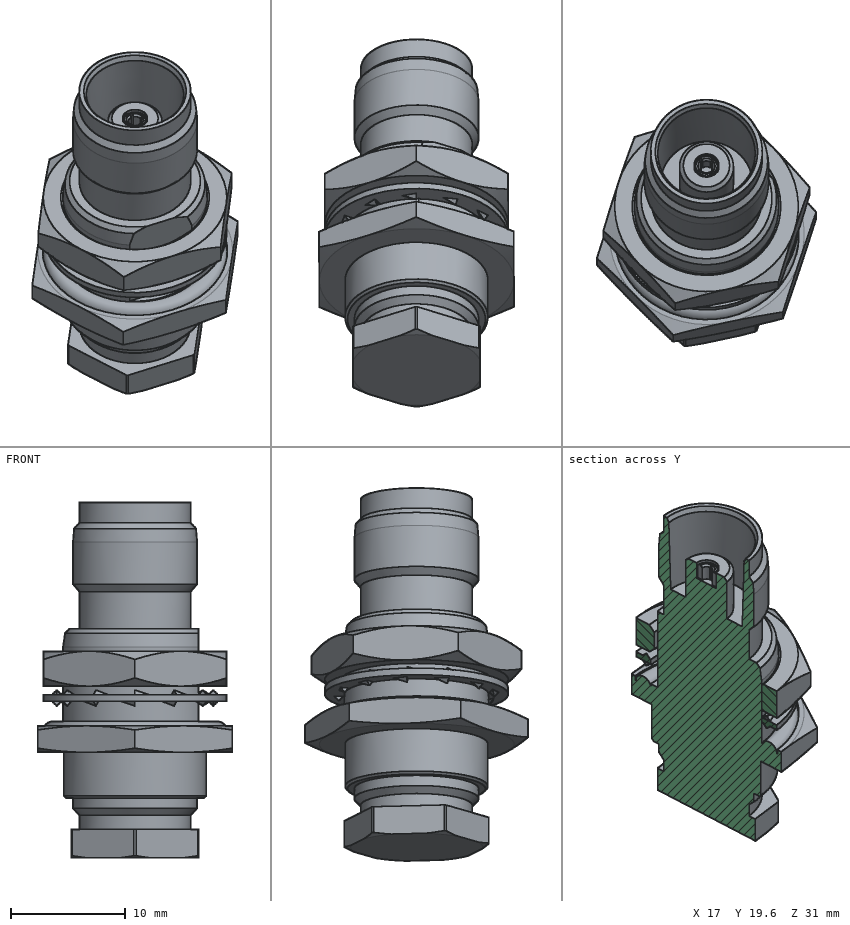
import cadquery as cq
import math


CLAMP_TOP = 2.48
TAIL_TAPER_BOTTOM = 3.72
TAIL_TAPER_TOP = 4.3
BARREL_BOTTOM = 5.2
FLANGE_BOTTOM = 9.2
FLANGE_TOP = 11.5
SHANK_CONE_BOTTOM = 18.38
SHANK_CONE_TOP = 19.6
SHANK_TOP = 20.0
COLLAR_BOTTOM = 23.22
COLLAR_FULL_BOTTOM = 23.87
COLLAR_FULL_TOP = 27.55
COLLAR_CONE_TOP = 28.7
COLLAR_TOP = 29.2
HOUSING_TOP = 31.0

NECK_RADIUS = 4.87
COLLAR_RADIUS = 5.42
COLLAR_CONE_RADIUS = 5.33
BARREL_RADIUS = 6.23
BARREL_CHAMFER = 0.22
SHANK_RADIUS = 6.3
SHANK_CONE_RADIUS = 6.1
SHANK_TIP_RADIUS = 5.7
SHANK_FLAT_X = 5.55

CLAMP_ACROSS_FLATS = 11.1
CLAMP_CORNER_RADIUS = 6.35
CLAMP_FACE_RADIUS = 5.77
CLAMP_CHAMFER_HEIGHT = 0.2

FLANGE_ACROSS_FLATS = 17.0
FLANGE_CHAMFER_ANGLE = 15
RECESS_RADIUS = 8.05
RECESS_DEPTH = 0.45
SEAL_SECTION_RADIUS = 0.87

SOCKET_MOUTH_RADIUS = 4.45
SOCKET_RIM_RADIUS = 4.25
SOCKET_RIM_DEPTH = 0.43
SOCKET_FLOOR_RADIUS = 4.03
SOCKET_FLOOR = COLLAR_BOTTOM
INSULATOR_TOP = 27.68
INSULATOR_RADIUS = 2.35
INSULATOR_CHAMFER = 0.35
CONTACT_RADIUS = 1.1
CONTACT_RECESS = 0.15
CONTACT_CHAMFER = 0.15
CONTACT_HOLE_RADIUS = 0.55
CONTACT_FUNNEL = 0.2
CONTACT_HOLE_DEPTH = 1.55
CONTACT_SLOT_WIDTH = 0.2

NUT_BOTTOM = 14.97
NUT_TOP = 18.0
NUT_ACROSS_FLATS = 16.0
NUT_CHAMFER_ANGLE = 30
NUT_BORE_RADIUS = 5.92
NUT_COUNTERSINK_RADIUS = 6.48

WASHER_BOTTOM = 13.65
WASHER_TOP = 14.23
WASHER_RADIUS = NUT_ACROSS_FLATS / 2
TOOTH_COUNT = 12
TOOTH_PITCH_RADIUS = 6.82
TOOTH_HEIGHT = 0.4
TOOTH_LENGTH = 1.2


def turned(points):
    """Solid of revolution about Z from an outline of (radius, height) points."""
    return cq.Workplane("XZ").polyline(points).close().revolve(360, (0, 0, 0), (0, 1, 0))


def cylinder(radius, bottom, top):
    """Cylinder about Z between two levels."""
    return cq.Workplane("XY").workplane(offset=bottom).circle(radius).extrude(top - bottom)


def hexagon(across_flats, bottom, top):
    """Hexagonal prism with flats facing -X and +X and corners facing -Y and +Y."""
    across_corners = across_flats / math.cos(math.radians(30))
    prism = cq.Workplane("XY").polygon(6, across_corners).extrude(top - bottom)
    return prism.rotate((0, 0, 0), (0, 0, 1), 30).translate((0, 0, bottom))


def chamfered_hexagon(across_flats, bottom, top, angle):
    """Hexagon whose corners are coned off at both ends from its inscribed circle."""
    inner = across_flats / 2
    outer = across_flats / math.sqrt(3)
    drop = (outer - inner) * math.tan(math.radians(angle))
    envelope = turned([
        (0, bottom), (inner, bottom), (outer, bottom + drop),
        (outer, top - drop), (inner, top), (0, top),
    ])
    return hexagon(across_flats, bottom, top).intersect(envelope)


def clamp_hexagon():
    """Small hexagon with turned corners and a chamfered bottom end."""
    envelope = turned([
        (0, 0), (CLAMP_FACE_RADIUS, 0), (CLAMP_CORNER_RADIUS, CLAMP_CHAMFER_HEIGHT),
        (CLAMP_CORNER_RADIUS, CLAMP_TOP), (0, CLAMP_TOP),
    ])
    return hexagon(CLAMP_ACROSS_FLATS, 0, CLAMP_TOP).intersect(envelope)


def tail():
    """Turned section between the clamp hexagon and the flange."""
    return turned([
        (0, CLAMP_TOP), (NECK_RADIUS, CLAMP_TOP), (NECK_RADIUS, TAIL_TAPER_BOTTOM),
        (COLLAR_RADIUS, TAIL_TAPER_TOP), (COLLAR_RADIUS, BARREL_BOTTOM),
        (BARREL_RADIUS - BARREL_CHAMFER, BARREL_BOTTOM),
        (BARREL_RADIUS, BARREL_BOTTOM + BARREL_CHAMFER),
        (BARREL_RADIUS, FLANGE_BOTTOM), (0, FLANGE_BOTTOM),
    ])


def flange():
    """Hexagonal flange with the sealing ring in its recessed top."""
    floor = FLANGE_TOP - RECESS_DEPTH
    seal_outer = SHANK_RADIUS + 2 * SEAL_SECTION_RADIUS
    seal = (
        cq.Workplane("XZ")
        .moveTo(SHANK_RADIUS, floor)
        .threePointArc(
            (SHANK_RADIUS + SEAL_SECTION_RADIUS, floor + SEAL_SECTION_RADIUS), (seal_outer, floor)
        )
        .close()
        .revolve(360, (0, 0, 0), (0, 1, 0))
    )
    plate = chamfered_hexagon(FLANGE_ACROSS_FLATS, FLANGE_BOTTOM, FLANGE_TOP, FLANGE_CHAMFER_ANGLE)
    return plate.cut(cylinder(RECESS_RADIUS, floor, FLANGE_TOP)).union(seal)


def shank():
    """Smooth shank rising from the flange recess, with a flat on its +X side above the flange."""
    bottom = FLANGE_TOP - RECESS_DEPTH
    rod = turned([
        (0, bottom), (SHANK_RADIUS, bottom), (SHANK_RADIUS, SHANK_CONE_BOTTOM),
        (SHANK_CONE_RADIUS, SHANK_CONE_TOP), (SHANK_TIP_RADIUS, SHANK_TOP), (0, SHANK_TOP),
    ])
    flat_depth = SHANK_RADIUS - SHANK_FLAT_X
    flat = (
        cq.Workplane("XY")
        .box(flat_depth, 2 * SHANK_RADIUS, SHANK_TOP - FLANGE_TOP, centered=(False, True, False))
        .translate((SHANK_FLAT_X, 0, FLANGE_TOP))
    )
    return rod.cut(flat)


def mating_end():
    """Neck and collar around the socket, still solid inside."""
    return turned([
        (0, SHANK_TOP), (NECK_RADIUS, SHANK_TOP), (NECK_RADIUS, COLLAR_BOTTOM),
        (COLLAR_RADIUS, COLLAR_FULL_BOTTOM), (COLLAR_RADIUS, COLLAR_FULL_TOP),
        (COLLAR_CONE_RADIUS, COLLAR_CONE_TOP), (NECK_RADIUS, COLLAR_TOP),
        (NECK_RADIUS, HOUSING_TOP), (0, HOUSING_TOP),
    ])


def socket():
    """Space inside the mating end, tapering inward from its mouth."""
    return turned([
        (0, SOCKET_FLOOR), (SOCKET_FLOOR_RADIUS, SOCKET_FLOOR),
        (SOCKET_RIM_RADIUS, HOUSING_TOP - SOCKET_RIM_DEPTH),
        (SOCKET_MOUTH_RADIUS, HOUSING_TOP), (0, HOUSING_TOP),
    ])


def insulator_and_contact():
    """Insulator post whose middle holds the contact, a sleeve with four slots."""
    contact_top = INSULATOR_TOP - CONTACT_RECESS
    hole_bottom = contact_top - CONTACT_HOLE_DEPTH
    post = turned([
        (0, SOCKET_FLOOR), (INSULATOR_RADIUS, SOCKET_FLOOR),
        (INSULATOR_RADIUS, INSULATOR_TOP - INSULATOR_CHAMFER),
        (INSULATOR_RADIUS - INSULATOR_CHAMFER, INSULATOR_TOP),
        (CONTACT_RADIUS, INSULATOR_TOP), (CONTACT_RADIUS, contact_top - CONTACT_CHAMFER),
        (CONTACT_RADIUS - CONTACT_CHAMFER, contact_top),
        (CONTACT_HOLE_RADIUS + CONTACT_FUNNEL, contact_top),
        (CONTACT_HOLE_RADIUS, contact_top - CONTACT_FUNNEL),
        (CONTACT_HOLE_RADIUS, hole_bottom), (0, hole_bottom),
    ])
    contact_space = cylinder(CONTACT_RADIUS, hole_bottom, contact_top)
    for angle in (0, 90):
        slot = (
            cq.Workplane("XY")
            .workplane(offset=hole_bottom)
            .rect(2 * CONTACT_RADIUS, CONTACT_SLOT_WIDTH)
            .extrude(CONTACT_HOLE_DEPTH)
            .rotate((0, 0, 0), (0, 0, 1), angle)
        )
        post = post.cut(slot.intersect(contact_space))
    return post


def make_housing():
    """Stacked outer sections, hollowed by the socket and refilled by the insulator and contact."""
    outside = clamp_hexagon().union(tail()).union(flange()).union(shank()).union(mating_end())
    return outside.cut(socket()).union(insulator_and_contact())


def make_nut():
    """Panel nut; its undersized bore follows the shank and fills in beside the flat."""
    countersink = NUT_COUNTERSINK_RADIUS - NUT_BORE_RADIUS
    bore = turned([
        (0, NUT_BOTTOM), (NUT_COUNTERSINK_RADIUS, NUT_BOTTOM),
        (NUT_BORE_RADIUS, NUT_BOTTOM + countersink), (NUT_BORE_RADIUS, NUT_TOP - countersink),
        (NUT_COUNTERSINK_RADIUS, NUT_TOP), (0, NUT_TOP),
    ])
    blank = chamfered_hexagon(NUT_ACROSS_FLATS, NUT_BOTTOM, NUT_TOP, NUT_CHAMFER_ANGLE)
    return blank.cut(bore).cut(shank())


def tooth():
    """Wedge tooth at +X on the washer top: an upright triangle drawn out to a point along +Y."""
    inner = (TOOTH_PITCH_RADIUS - TOOTH_HEIGHT, 0, WASHER_TOP)
    outer = (TOOTH_PITCH_RADIUS + TOOTH_HEIGHT, 0, WASHER_TOP)
    peak = (TOOTH_PITCH_RADIUS, 0, WASHER_TOP + TOOTH_HEIGHT)
    point = (TOOTH_PITCH_RADIUS, TOOTH_LENGTH, WASHER_TOP)
    triangles = [
        (inner, outer, peak),
        (inner, outer, point),
        (outer, peak, point),
        (peak, inner, point),
    ]
    faces = [cq.Face.makeFromWires(cq.Wire.makePolygon(corners, close=True)) for corners in triangles]
    return cq.Workplane(cq.Solid.makeSolid(cq.Shell.makeShell(faces)))


def make_washer():
    """Flat ring with rising teeth on top and the same teeth turned over underneath."""
    ring = cylinder(WASHER_RADIUS, WASHER_BOTTOM, WASHER_TOP)
    washer = ring.cut(cylinder(SHANK_RADIUS, WASHER_BOTTOM, WASHER_TOP))
    middle = (WASHER_BOTTOM + WASHER_TOP) / 2
    upper = tooth()
    lower = upper.rotate((0, 0, middle), (1, 0, middle), 180)
    for i in range(TOOTH_COUNT):
        angle = i * 360 / TOOTH_COUNT
        for wedge in (upper, lower):
            washer = washer.union(wedge.rotate((0, 0, 0), (0, 0, 1), angle))
    return washer


housing = make_housing()
nut = make_nut()
washer = make_washer()
result = cq.Compound.makeCompound([housing.solids().val(), nut.solids().val(), washer.solids().val()])